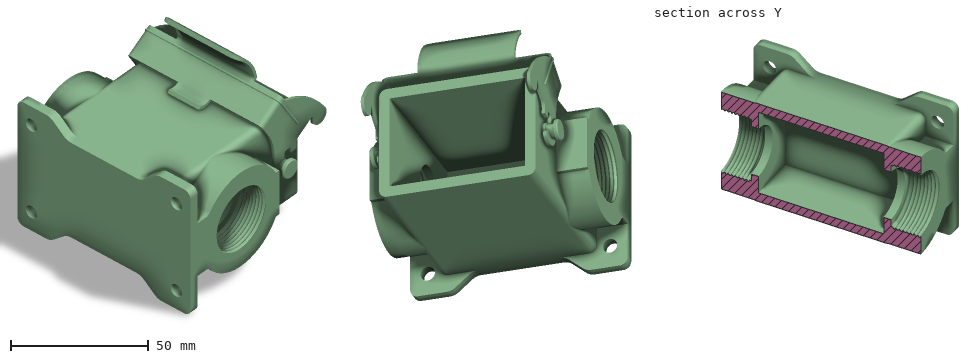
import cadquery as cq
import math

plate_width = 83.5
plate_height = 57.0
plate_thickness = 4.0
plate_corner_radius = 3.0
notch_half_width = 17.75
notch_half_mouth = 25.95
notch_bend_radius = 5.1
mount_hole_diameter = 5.5
mount_hole_spacing_x = 70.0
mount_hole_spacing_z = 39.95

box_width = 60.1
box_height = 43.5
box_end = 72.1
box_corner_radius = 3.0
wall = 4.0

port_y = 27.9
port_radius = 21.6
port_tab_end = 48.9
port_tab_height = 20.1
port_neck_height = 24.2
port_neck_fillet = 3.0
bore_diameter = 21.0
thread_diameter = 27.0
thread_depth = 0.8
thread_pitch = 1.5
thread_turns = 8
recess_depth = 12.55

pin_y = 61.8
pin_diameter = 5.2
pin_boss_diameter = 6.5
pin_head_diameter = 8.0
pin_head_inside = 34.6
pin_end = 36.1
pin_head_chamfer = 0.4

sheet = 1.3
lever_half_width = 32.5
lever_bend_radius = 2.05
tilt = 32.2
bar_low_y, bar_low_z = 49.5, 24.9
bar_length = 13.65
hook_center = (81.6, 11.35)
hook_radius = 3.75
claw_tip_center = (65.55, -3.3)
claw_tip_radius = 1.8
throat_y = 62.3
side_front_y = 56.8
straight_front = 6.8
rib_width = 1.0
rib_height = 0.4
rib_from_low_end = 11.6
rib_leg = 19.1

handle_width = 37.2
handle_radius = 19.4
handle_center = (43.2, 30.0)
handle_end_angle = 61.8
handle_corner_radius = 4.0
lip_width = 15.4
lip_radius = 6.0
lip_arc = 64.0
lip_corner_radius = 0.85

half_width = plate_width / 2
box_side = box_width / 2
lever_inside = lever_half_width - sheet
inner_bend_radius = lever_bend_radius - sheet
overcut = 0.85
cos_tilt = math.cos(math.radians(tilt))
sin_tilt = math.sin(math.radians(tilt))


def on_bar(along, out):
    """Y, Z of a point measured along the crossbar from its low end, and outward from its face."""
    y = bar_low_y + along * cos_tilt - out * sin_tilt
    z = bar_low_z + along * sin_tilt + out * cos_tilt
    return y, z


def bar_block(half_x, along_from, along_to, out_from, out_to, edge_radius):
    """Block with Y along the crossbar and Z outward, its two outer edges along the bar rounded."""
    return (
        cq.Workplane("XY")
        .box(2 * half_x, along_to - along_from, out_to - out_from, centered=(True, False, False))
        .translate((0, along_from, out_from))
        .edges(">Z and |Y").fillet(edge_radius)
    )


def place_on_bar(body):
    """Tilt a body built flat into the crossbar's place."""
    return body.rotate((0, 0, 0), (1, 0, 0), tilt).translate((0, bar_low_y, bar_low_z))


def polar(center, radius, angle):
    """Y, Z of a point on a circle; the angle in degrees starts at +Y and turns towards +Z."""
    a = math.radians(angle)
    return center[0] + radius * math.cos(a), center[1] + radius * math.sin(a)


def curved_strip(center, radius, start, end, width):
    """Sheet bent around an axis along X; the radius is to the middle of the sheet."""
    inner = radius - sheet / 2
    outer = radius + sheet / 2
    middle = (start + end) / 2
    return (
        cq.Workplane("YZ")
        .moveTo(*polar(center, outer, start))
        .threePointArc(polar(center, outer, middle), polar(center, outer, end))
        .lineTo(*polar(center, inner, end))
        .threePointArc(polar(center, inner, middle), polar(center, inner, start))
        .close()
        .extrude(width / 2, both=True)
    )


def make_plate():
    """Mounting plate with a notch in the middle of its top and bottom edges."""
    half_height = plate_height / 2
    half_waist = box_height / 2
    outline = [
        (-half_width, half_height), (-notch_half_mouth, half_height), (-notch_half_width, half_waist),
        (notch_half_width, half_waist), (notch_half_mouth, half_height), (half_width, half_height),
        (half_width, -half_height), (notch_half_mouth, -half_height), (notch_half_width, -half_waist),
        (-notch_half_width, -half_waist), (-notch_half_mouth, -half_height), (-half_width, -half_height),
    ]
    plate = cq.Workplane("XZ").polyline(outline).close().extrude(-plate_thickness)
    plate = plate.edges("|Y").edges("<X or >X").fillet(plate_corner_radius)
    bend_reach = notch_half_mouth + overcut
    bends = cq.selectors.BoxSelector(
        (-bend_reach, 0, -plate_height), (bend_reach, plate_thickness, plate_height)
    )
    return plate.edges("|Y").edges(bends).fillet(notch_bend_radius)


def make_box():
    box = cq.Workplane("XY").box(box_width, box_end, box_height, centered=(True, False, True))
    return box.edges("|Y").fillet(box_corner_radius)


def make_ports():
    """Cable barrel across the box, with a neck to the plate and a flat-ended tab."""
    neck = cq.Workplane("XY").box(plate_width, port_y, port_neck_height, centered=(True, False, True))
    tab = (
        cq.Workplane("XY")
        .box(plate_width, port_tab_end - port_y, port_tab_height, centered=(True, False, True))
        .translate((0, port_y, 0))
    )
    barrel = cq.Workplane("YZ").center(port_y, 0).circle(port_radius).extrude(half_width, both=True)
    ports = barrel.union(neck)
    corners = cq.selectors.BoxSelector(
        (-half_width, overcut, -port_radius), (half_width, port_y - overcut, port_radius)
    )
    ports = ports.edges("|X").edges(corners).fillet(port_neck_fillet)
    flat_end = cq.Workplane("XY").box(plate_width, port_tab_end, plate_height, centered=(True, False, True))
    return ports.union(tab).intersect(flat_end)


def make_cavity():
    """Inside of the box, open at its far end."""
    floor = plate_thickness + wall
    return (
        cq.Workplane("XY")
        .box(box_width - 2 * wall, box_end - floor, box_height - 2 * wall, centered=(True, False, True))
        .translate((0, floor, 0))
    )


def make_threaded_bore(side):
    """Threaded recess from the port face into the box wall, with ring-shaped thread grooves."""
    crest = thread_diameter / 2
    bottom = half_width - recess_depth
    profile = cq.Workplane("XY").moveTo(bottom, port_y).lineTo(bottom, port_y + crest)
    first = half_width - thread_turns * thread_pitch
    for turn in range(thread_turns):
        start = first + turn * thread_pitch
        profile = (
            profile.lineTo(start, port_y + crest)
            .lineTo(start + thread_pitch / 2, port_y + crest + thread_depth)
        )
    profile = profile.lineTo(half_width, port_y + crest).lineTo(half_width, port_y).close()
    bore = profile.revolve(360, (0, port_y, 0), (1, port_y, 0))
    if side < 0:
        bore = bore.mirror("YZ")
    return bore


def make_pin(side):
    """Headed pivot pin on the box side wall, standing on a low boss."""
    def cylinder(diameter, start, end):
        return cq.Workplane("YZ", origin=(start, pin_y, 0)).circle(diameter / 2).extrude(end - start)

    head = cylinder(pin_head_diameter, pin_head_inside, pin_end).faces(">X").chamfer(pin_head_chamfer)
    boss = cylinder(pin_boss_diameter, box_side - wall / 2, lever_inside)
    pin = cylinder(pin_diameter, box_side - wall / 2, pin_end - pin_head_chamfer).union(boss).union(head)
    if side < 0:
        pin = pin.mirror("YZ")
    return pin


def make_housing():
    housing = make_plate().union(make_box()).union(make_ports())
    housing = housing.cut(make_cavity())
    housing = housing.cut(
        cq.Workplane("YZ").center(port_y, 0).circle(bore_diameter / 2).extrude(half_width, both=True)
    )
    for side in (-1, 1):
        housing = housing.cut(make_threaded_bore(side)).union(make_pin(side))
    holes = (
        cq.Workplane("XZ")
        .rect(mount_hole_spacing_x, mount_hole_spacing_z, forConstruction=True)
        .vertices().circle(mount_hole_diameter / 2).extrude(-plate_thickness)
    )
    return housing.cut(holes)


def make_side_outline():
    """Side plate shape across the full width: locking hook, pin claw and crossbar edge."""
    seat_radius = pin_diameter / 2
    throat_top = (throat_y, math.sqrt(seat_radius**2 - (throat_y - pin_y)**2))
    claw_top = claw_tip_center[1] + claw_tip_radius
    claw_tip = polar(claw_tip_center, claw_tip_radius, 0)
    claw_tip_end = polar(claw_tip_center, claw_tip_radius, -43)
    seat_end = (pin_y + math.sqrt(seat_radius**2 - claw_top**2), claw_top)
    return (
        cq.Workplane("YZ")
        .moveTo(*on_bar(0, 0))
        .lineTo(*on_bar(bar_length, 0))
        .lineTo(*on_bar(bar_length, -lever_bend_radius))
        .threePointArc((62.5, 29.5), (63.3, 29.0))
        .threePointArc((74.8, 23.7), polar(hook_center, hook_radius, 41))
        .threePointArc(polar(hook_center, hook_radius, -45), polar(hook_center, hook_radius, 225))
        .threePointArc((78.2, 9.4), (77.8, 10.4))
        .lineTo(77.8, 12.7)
        .threePointArc((77.6, 13.1), (77.0, 13.1))
        .lineTo(70.2, 8.6)
        .threePointArc((69.05, 7.3), (68.8, 5.6))
        .lineTo(69.0, 3.9)
        .lineTo(65.9, 3.6)
        .lineTo(65.7, 6.2)
        .lineTo(63.5, 6.2)
        .threePointArc((62.6, 5.9), (throat_y, 4.8))
        .lineTo(*throat_top)
        .threePointArc((pin_y - seat_radius, 0), seat_end)
        .lineTo(claw_tip_center[0], claw_top)
        .threePointArc(claw_tip, claw_tip_end)
        .threePointArc((62.6, -5.9), (side_front_y, -0.2))
        .lineTo(side_front_y, 7.1)
        .threePointArc((55.8, 13.4), on_bar(0, -straight_front))
        .close()
        .extrude(lever_half_width, both=True)
    )


def make_channel():
    """U-shaped sheet: a crossbar with rounded bends into two side plates."""
    reach = box_end
    inner_reach = reach + overcut
    outer = bar_block(lever_half_width, -reach, reach, -reach, 0, lever_bend_radius)
    inner = bar_block(lever_inside, -inner_reach, inner_reach, -inner_reach, -sheet, inner_bend_radius)
    return place_on_bar(outer.cut(inner))


def make_rib():
    """Half-round rib raised over the crossbar and down both side plates."""
    radius = rib_width / 2
    rise = rib_height - radius
    side = lever_half_width + rise
    bend = lever_bend_radius + rise
    bend_middle = bend * (1 - math.cos(math.radians(45)))
    path = (
        cq.Workplane("XZ", origin=(0, rib_from_low_end, 0))
        .moveTo(-side, -rib_leg)
        .lineTo(-side, rise - bend)
        .threePointArc((bend_middle - side, rise - bend_middle), (bend - side, rise))
        .lineTo(side - bend, rise)
        .threePointArc((side - bend_middle, rise - bend_middle), (side, rise - bend))
        .lineTo(side, -rib_leg)
    )
    rib = cq.Workplane("XY", origin=(-side, rib_from_low_end, -rib_leg)).circle(radius).sweep(path)
    return place_on_bar(rib)


def make_handle():
    """Curved thumb handle with a tight bend tangent to it and to the crossbar."""
    corner_y, corner_z = on_bar(bar_length, -sheet / 2)
    from_y = corner_y - handle_center[0]
    from_z = corner_z - handle_center[1]
    outward = -from_y * sin_tilt + from_z * cos_tilt
    bend_radius = (handle_radius**2 - from_y**2 - from_z**2) / (2 * (outward + handle_radius))
    bend_center = on_bar(bar_length, bend_radius - sheet / 2)
    tangent = math.degrees(
        math.atan2(bend_center[1] - handle_center[1], bend_center[0] - handle_center[0])
    )
    bend = curved_strip(bend_center, bend_radius, tilt - 90, tangent, handle_width)
    handle = curved_strip(handle_center, handle_radius, tangent, handle_end_angle, handle_width)
    end_corners = cq.selectors.BoxSelector(
        (-handle_width, bar_low_y, box_height), (handle_width, bar_low_y + bar_length / 2, plate_height)
    )
    handle = handle.edges("not |X").edges("%LINE").edges(end_corners).fillet(handle_corner_radius)
    return bend, handle


def make_lip():
    """Short lip curling away from the low edge of the crossbar."""
    center = on_bar(0, lip_radius - sheet / 2)
    lip = curved_strip(center, lip_radius, tilt - 90 - lip_arc, tilt - 90, lip_width)
    return lip.faces("<Y").edges("not |X").fillet(lip_corner_radius)


def make_lever():
    lever = make_side_outline().intersect(make_channel()).union(make_rib())
    for piece in (*make_handle(), make_lip()):
        lever = lever.union(piece)
    return lever


housing = make_housing()
lever = make_lever()
result = cq.Compound.makeCompound([housing.val(), lever.val()])